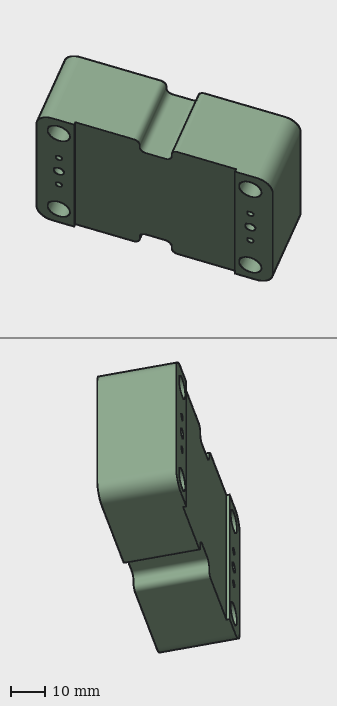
import cadquery as cq

length = 74.0
depth = 24.0
height = 50.0
corner_radius = 5.0

recess_width = 50.3
recess_depth = 0.95

notch_width = 10.0
notch_depth = 5.0
notch_mouth_radius = 2.0
notch_floor_radius = 2.0

hole_column_x = 30.0
corner_hole_diameter = 7.0
corner_hole_z = 18.5
center_hole_diameter = 3.2
pin_hole_diameter = 2.0
pin_hole_z = 6.5


def make_block():
    """Block with rounded corners, front face at the lowest Y."""
    block = cq.Workplane("XY").box(length, depth, height)
    return block.edges("|Y").fillet(corner_radius)


def cut_recess(body):
    recess = cq.Workplane("XY").box(recess_width, recess_depth, height)
    return body.cut(recess.translate((0, (recess_depth - depth) / 2, 0)))


def notch_cutter(side):
    """Round-cornered notch with a flared mouth; side is +1 at the top, -1 at the bottom."""
    half = notch_width / 2
    edge = side * height / 2
    floor = edge - side * notch_depth
    mouth = notch_mouth_radius
    corner = notch_floor_radius
    profile = (
        cq.Workplane("XZ")
        .moveTo(-half - mouth, edge)
        .radiusArc((-half, edge - side * mouth), side * mouth)
        .lineTo(-half, floor + side * corner)
        .radiusArc((-half + corner, floor), -side * corner)
        .lineTo(half - corner, floor)
        .radiusArc((half, floor + side * corner), -side * corner)
        .lineTo(half, edge - side * mouth)
        .radiusArc((half + mouth, edge), side * mouth)
        .close()
    )
    return profile.extrude(depth / 2, both=True)


def drill_through(body, diameter, z_places):
    """Drill both hole columns along Y at the given heights."""
    places = [(x, z) for x in (-hole_column_x, hole_column_x) for z in z_places]
    drills = cq.Workplane("XZ").pushPoints(places).circle(diameter / 2)
    return body.cut(drills.extrude(depth / 2, both=True))


result = cut_recess(make_block())
for notch_side in (1, -1):
    result = result.cut(notch_cutter(notch_side))
result = drill_through(result, corner_hole_diameter, (-corner_hole_z, corner_hole_z))
result = drill_through(result, center_hole_diameter, (0,))
result = drill_through(result, pin_hole_diameter, (-pin_hole_z, pin_hole_z))